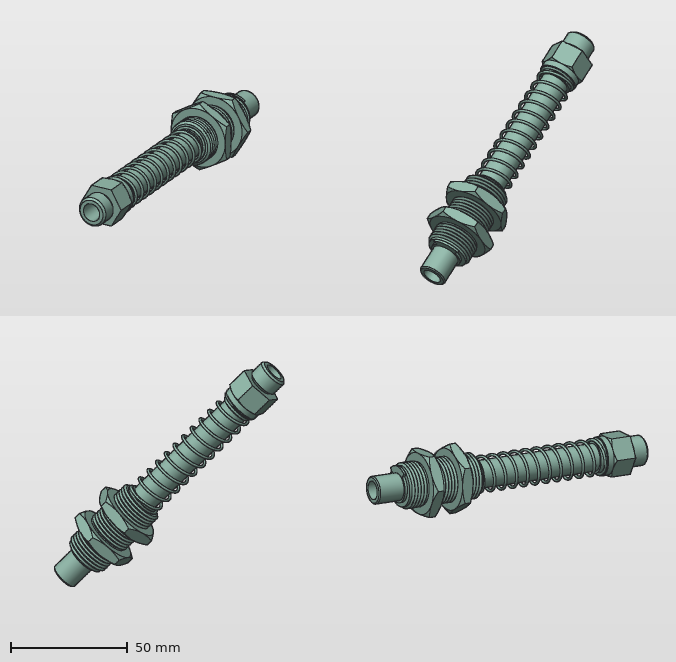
import cadquery as cq
import math

length = 132.0

rod_dia = 12.1
bore_dia = 8.0
rod_chamfer = 0.5

spigot_dia = 13.2
spigot_chamfer = 0.9
neck_dia = 10.7
hex_start = 8.3
hex_end = 18.2
hex_flats = 17.0
collar_dia = hex_flats
collar_end = 21.0

bush_dia = 14.0
front_bush_end = 23.8
rear_bush_start = 81.0

body_start = 83.0
body_end = 118.8
crest_dia = 20.0
root_dia = 18.0
first_crest = 83.8
last_crest = 116.8
crest_count = 23
pitch = (last_crest - first_crest) / (crest_count - 1)

ring_end = 120.0
tab_dia = 18.3
tab_angle = 80.0

nut_flats = 26.9
nut_thickness = 5.1
front_nut_centre = 92.8
rear_nut_centre = 107.0

chamfer_slope = math.tan(math.radians(30))

wire_dia = 1.15
coil_dia = 15.2
closed_coil_wire_dia = 1.25
closed_coil_offset = 0.6
active_turns = 11.2
coil_start_angle = 148.0
first_coil = collar_end + closed_coil_offset
last_coil = body_start - closed_coil_offset


def corners(flats):
    """Diameter across the corners of a hexagon."""
    return flats / math.cos(math.radians(30))


def cylinder(dia, start, end):
    """Round bar along Y between two stations."""
    return cq.Workplane("XZ", origin=(0, start, 0)).circle(dia / 2).extrude(start - end)


def revolve_about_y(points):
    """Solid of revolution from (radius, station) points."""
    return cq.Workplane("XY").polyline(points).close().revolve(360, (0, 0, 0), (0, 1, 0))


def hexagon(flats, start, end, chamfer_front, turn):
    """Hexagonal prism turned about Y, with corners chamfered at the rear and, if asked, the front."""
    prism = cq.Workplane("XZ", origin=(0, start, 0)).polygon(6, corners(flats)).extrude(start - end)
    prism = prism.rotate((0, 0, 0), (0, 1, 0), turn)
    face_radius = flats / 2
    outer_radius = corners(flats) / 2
    drop = (outer_radius - face_radius) * chamfer_slope
    front = [(0, start), (outer_radius, start)]
    if chamfer_front:
        front = [(0, start), (face_radius, start), (outer_radius, start + drop)]
    rear = [(outer_radius, end - drop), (face_radius, end), (0, end)]
    return prism.intersect(revolve_about_y(front + rear))


def lock_nut(centre, turn):
    return hexagon(nut_flats, centre - nut_thickness / 2, centre + nut_thickness / 2, True, turn)


def spigot():
    """Front end: chamfered tip, straight shank and a cone down to the undercut at the hexagon."""
    radius = spigot_dia / 2
    neck_radius = neck_dia / 2
    return revolve_about_y([
        (0, 0),
        (radius - spigot_chamfer, 0),
        (radius, spigot_chamfer),
        (radius, hex_start - (radius - neck_radius)),
        (neck_radius, hex_start),
        (0, hex_start),
    ])


def threaded_body():
    """Ridged cylinder: one sharp crest per thread pitch, with V grooves in between."""
    crest_radius = crest_dia / 2
    root_radius = root_dia / 2
    profile = [(0, body_start), (root_radius, body_start)]
    for i in range(crest_count):
        crest = first_crest + i * pitch
        profile.append((crest_radius, crest))
        profile.append((root_radius, crest + pitch / 2))
    profile += [(root_radius, body_end), (0, body_end)]
    return revolve_about_y(profile)


def stop_ring():
    """Thin ring with a wider sector standing up on the +Z side."""
    ring = cylinder(bush_dia, body_end, ring_end)
    sector_height = tab_dia
    half_width = sector_height * math.tan(math.radians(tab_angle / 2))
    sector = (
        cq.Workplane("XZ", origin=(0, body_end, 0))
        .polyline([(0, 0), (half_width, sector_height), (-half_width, sector_height)])
        .close()
        .extrude(body_end - ring_end)
    )
    return ring.union(cylinder(tab_dia, body_end, ring_end).intersect(sector))


def closed_coil(station):
    """Flat end turn of the spring, slightly sunk into the face it presses on."""
    centre = cq.Vector(0, station, 0)
    axis = cq.Vector(0, 1, 0)
    return cq.Workplane(cq.Solid.makeTorus(coil_dia / 2, closed_coil_wire_dia / 2, centre, axis))


def active_coils(start, end):
    """Right-handed helical wire between the two closed coils."""
    rise = end - start
    path = cq.Workplane(cq.Wire.makeHelix(rise / active_turns, rise, coil_dia / 2))
    section = cq.Workplane("XZ", origin=(coil_dia / 2, 0, 0)).circle(wire_dia / 2)
    coils = section.sweep(path, isFrenet=True).rotate((0, 0, 0), (1, 0, 0), -90)
    return coils.rotate((0, 0, 0), (0, 1, 0), coil_start_angle).translate((0, start, 0))


rod = cylinder(rod_dia, hex_start, length).faces(">Y").chamfer(rod_chamfer)

parts = [
    spigot(),
    hexagon(hex_flats, hex_start, hex_end, False, 0),
    cylinder(collar_dia, hex_end, collar_end),
    cylinder(bush_dia, collar_end, front_bush_end),
    cylinder(bush_dia, rear_bush_start, body_start),
    threaded_body(),
    stop_ring(),
    lock_nut(front_nut_centre, 30),
    lock_nut(rear_nut_centre, 0),
    closed_coil(first_coil),
    closed_coil(last_coil),
    active_coils(first_coil, last_coil),
]

result = rod
for part in parts:
    result = result.union(part)
result = result.cut(cylinder(bore_dia, 0, length))